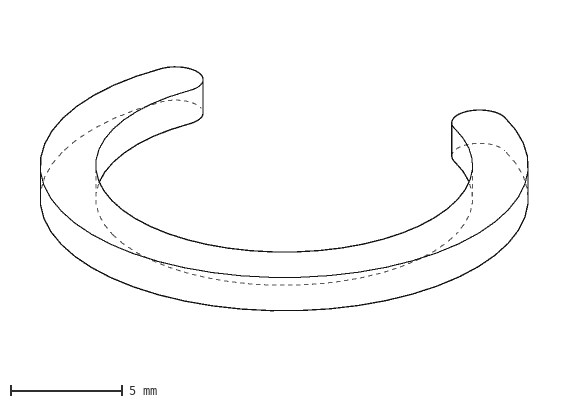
import cadquery as cq
import math

outer_diameter = 21.95
band_width = 2.5
thickness = 1.7
tip_center_y = 6.59

outer_radius = outer_diameter / 2
inner_radius = outer_radius - band_width
middle_radius = outer_radius - band_width / 2
tip_angle = math.asin(tip_center_y / middle_radius)


def ring_point(radius, angle):
    """Point on a circle around the ring center."""
    return (radius * math.cos(angle), radius * math.sin(angle))


def mirrored(point):
    """Matching point on the left half of the ring."""
    return (-point[0], point[1])


outer_end = ring_point(outer_radius, tip_angle)
inner_end = ring_point(inner_radius, tip_angle)

tip_center = ring_point(middle_radius, tip_angle)
tip_bulge = ring_point(band_width / 2, tip_angle + math.pi / 2)
tip_peak = (tip_center[0] + tip_bulge[0], tip_center[1] + tip_bulge[1])

result = (
    cq.Workplane("XY")
    .moveTo(*outer_end)
    .threePointArc(tip_peak, inner_end)
    .threePointArc((0, -inner_radius), mirrored(inner_end))
    .threePointArc(mirrored(tip_peak), mirrored(outer_end))
    .threePointArc((0, -outer_radius), outer_end)
    .close()
    .extrude(thickness)
)